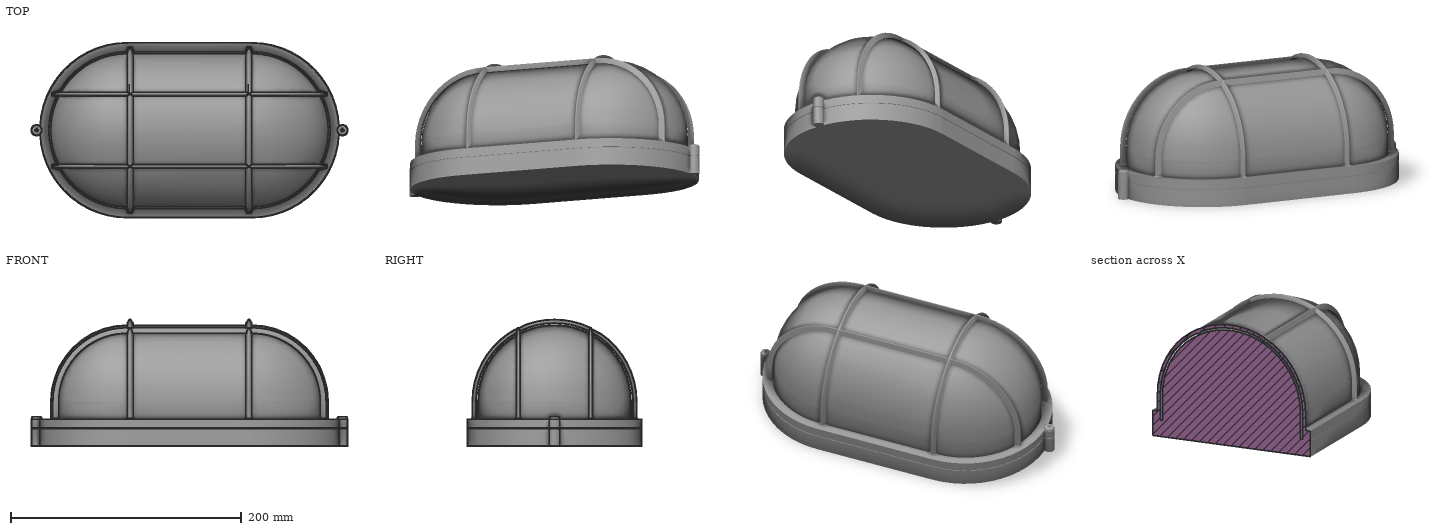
import cadquery as cq
import math

length = 275.0
width = 152.0
height = 110.0

base_length = 260.2
base_height = 23.5
straight = base_length - width
seam_height = 15.5
seam_gap = 0.8
seam_depth = 0.5

dome_radius = 66.5
spring_height = 38.5
opening_gap = 1.6

hoop_radius = height - spring_height
hoop_x = 51.7
hoop_width = 5.2
hoop_crest = 1.6
hoop_depth = 3.3
bar_y = 31.4
bar_straight = 109.0
bar_width = 3.5
bar_crest = 1.0
bar_depth = 5.0
bar_radius = math.sqrt(hoop_radius**2 - bar_y**2)
crest_round = 0.5
foot_flare = 0.8

boss_radius = 4.7
boss_x = length / 2 - boss_radius
head_radius = 4.5
head_height = 2.2
head_round = 1.6
recess_length = 3.0
recess_width = 1.0
recess_depth = 1.0


def stadium(radius, bottom, top):
    """Upright stadium prism around the two end-arc centres."""
    outline = cq.Workplane("XY").workplane(offset=bottom).slot2D(straight + 2 * radius, 2 * radius)
    return outline.extrude(top - bottom)


def make_base():
    def footprint(inset):
        body = stadium(width / 2 - inset, 0, base_height)
        bosses = (
            cq.Workplane("XY")
            .pushPoints([(-boss_x, 0), (boss_x, 0)])
            .circle(boss_radius - inset)
            .extrude(base_height)
        )
        return body.union(bosses)

    seam_layer = (
        cq.Workplane("XY")
        .workplane(offset=seam_height - seam_gap / 2)
        .rect(2 * length, 2 * width)
        .extrude(seam_gap)
    )
    seam = seam_layer.cut(footprint(seam_depth))
    opening = stadium(dome_radius + opening_gap, seam_height, base_height)
    return footprint(0).cut(seam).cut(opening)


def make_dome():
    wall = stadium(dome_radius, seam_height, spring_height)
    dome = wall.union(
        cq.Workplane("YZ")
        .workplane(offset=-straight / 2)
        .moveTo(-dome_radius, spring_height)
        .threePointArc((0, spring_height + dome_radius), (dome_radius, spring_height))
        .close()
        .extrude(straight)
    )
    quarter_ball = (
        cq.Workplane("XY")
        .sphere(dome_radius, angle1=0, angle2=90, angle3=180)
        .rotate((0, 0, 0), (0, 0, 1), 90)
        .translate((-straight / 2, 0, spring_height))
    )
    dome = dome.union(quarter_ball).union(quarter_ball.mirror("YZ"))
    return dome


def rod_section(plane, radius, rod_width, crest, depth):
    """Closed rod section at the given radius: rounded crest outside, wide flat side inside."""
    shoulder = radius - crest_round
    inner = radius - depth
    return (
        cq.Workplane(plane)
        .moveTo(shoulder, -crest / 2)
        .threePointArc((radius, 0), (shoulder, crest / 2))
        .lineTo(inner, rod_width / 2)
        .lineTo(inner, -rod_width / 2)
        .close()
    )


def rod(radius, centre_distance, rod_width, crest, depth):
    """Arched rod in the XZ plane: two legs, two quarter bends and an optional straight top."""
    section = (radius, rod_width, crest, depth)
    leg = rod_section("XY", *section).extrude(base_height - spring_height)
    bend = rod_section("XY", *section).revolve(90, (0, 0, 0), (0, -1, 0))
    foot_outline = [
        (radius + foot_flare, -crest / 2 - foot_flare),
        (radius + foot_flare, crest / 2 + foot_flare),
        (radius - depth - foot_flare, rod_width / 2 + 2 * foot_flare),
        (radius - depth - foot_flare, -rod_width / 2 - 2 * foot_flare),
    ]
    foot = (
        cq.Workplane("XY")
        .workplane(offset=base_height - spring_height)
        .polyline(foot_outline)
        .close()
        .extrude(foot_flare, taper=45)
    )
    half = leg.union(bend).union(foot)
    if centre_distance > 0:
        top_plane = cq.Plane(origin=(0, 0, 0), xDir=(0, 0, 1), normal=(-1, 0, 0))
        half = half.union(rod_section(top_plane, *section).extrude(centre_distance / 2))
    half = half.translate((centre_distance / 2, 0, spring_height))
    return half.union(half.mirror("YZ"))


def make_cage():
    hoop = rod(hoop_radius, 0, hoop_width, hoop_crest, hoop_depth).rotate((0, 0, 0), (0, 0, 1), 90)
    bar = rod(bar_radius, bar_straight, bar_width, bar_crest, bar_depth)
    cage = hoop.translate((-hoop_x, 0, 0)).union(hoop.translate((hoop_x, 0, 0)))
    for y in (-bar_y, bar_y):
        cage = cage.union(bar.translate((0, y, 0)))
    return cage


def make_screw_head():
    head = (
        cq.Workplane("XY")
        .workplane(offset=base_height)
        .circle(head_radius)
        .extrude(head_height)
        .faces(">Z")
        .edges()
        .fillet(head_round)
    )
    for angle in (0, 90):
        slot = (
            cq.Workplane("XY")
            .workplane(offset=base_height + head_height - recess_depth)
            .rect(recess_length, recess_width)
            .extrude(recess_depth)
            .rotate((0, 0, 0), (0, 0, 1), angle)
        )
        head = head.cut(slot)
    return head


result = make_base().union(make_dome()).union(make_cage())
for x in (-boss_x, boss_x):
    result = result.union(make_screw_head().translate((x, 0, 0)))